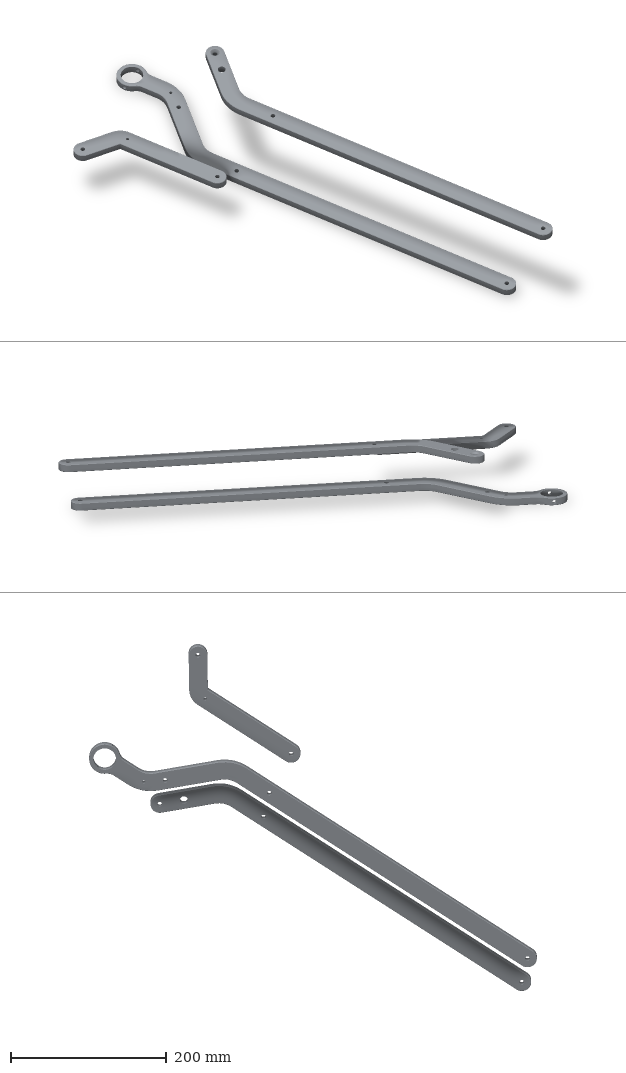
import cadquery as cq
import math

total_length = 658.0
total_depth = 228.14

bar_width = 24.0
thickness = 10.0
edge_break = 0.5
level_spacing = 35.0
row_spacing = 50.0

pivot_diameter = 6.0
pilot_diameter = 4.0
pivot_spacing = 400.0

arm_slope = 44.2
arm_bend_radius = 40.0

ring_diameter = 40.0
ring_bore_diameter = 29.0
ring_pin_diameter = 5.0
neck_fillet = 15.0
ring_arm_drop = 80.0
ring_arm_bend_x = 60.3
ring_arm_pilot = (58.9, -2.5)
slope_pivot_distance = 28.0

offset_arm_shift = 25.0
offset_arm_rise = 60.2
cross_hole_distance = 31.4
cross_hole_diameter = 10.0
countersink_diameter = 12.0
countersink_angle = 90.0

link_slope = 55.1
link_end_x = 27.1
link_bend_radius = 12.5
link_pilot_distance = 133.0

half_width = bar_width / 2
ring_radius = ring_diameter / 2
ring_arm_y = -ring_arm_drop
offset_arm_y = ring_arm_y + row_spacing
link_y = ring_arm_y - row_spacing
link_drop = total_depth - bar_width - 2 * row_spacing - offset_arm_rise
offset_arm_far_pivot_x = total_length - ring_radius - half_width
offset_arm_near_pivot_x = offset_arm_far_pivot_x - pivot_spacing
ring_arm_near_pivot_x = offset_arm_near_pivot_x - offset_arm_shift
ring_arm_far_pivot_x = ring_arm_near_pivot_x + pivot_spacing
ring_arm_lower_bend_x = ring_arm_bend_x + ring_arm_drop / math.tan(math.radians(arm_slope))
offset_arm_bend_x = ring_arm_lower_bend_x + offset_arm_shift
link_far_pivot_x = ring_arm_near_pivot_x


def bend_side(before, corner, after, radius, side):
    """Start, middle and end of one edge's arc at a bend; side is +1 for the left edge, -1 for the right."""
    heading_in = (corner - before).normalized()
    heading_out = (after - corner).normalized()
    turn = math.asin(heading_in.cross(heading_out).z)
    left_in = cq.Vector(-heading_in.y, heading_in.x)
    left_out = cq.Vector(-heading_out.y, heading_out.x)
    left_middle = (left_in + left_out).normalized()
    to_centre = math.copysign(radius, turn)
    centre = corner - heading_in * (radius * math.tan(abs(turn) / 2)) + left_in * to_centre
    reach = side * half_width - to_centre
    return [centre + left * reach for left in (left_in, left_middle, left_out)]


def bent_bar(centreline, bend_radius):
    """Round-ended bar that follows a centreline with every corner rounded."""
    points = [cq.Vector(x, y) for x, y in centreline]
    first_heading = (points[1] - points[0]).normalized()
    last_heading = (points[-1] - points[-2]).normalized()
    first_left = cq.Vector(-first_heading.y, first_heading.x) * half_width
    last_left = cq.Vector(-last_heading.y, last_heading.x) * half_width
    bends = list(zip(points, points[1:], points[2:]))

    right_start = points[0] - first_left
    outline = cq.Workplane("XY").moveTo(right_start.x, right_start.y)
    for before, corner, after in bends:
        start, middle, end = bend_side(before, corner, after, bend_radius, -1)
        outline = outline.lineTo(start.x, start.y)
        outline = outline.threePointArc((middle.x, middle.y), (end.x, end.y))
    right_end = points[-1] - last_left
    tip = points[-1] + last_heading * half_width
    left_end = points[-1] + last_left
    outline = outline.lineTo(right_end.x, right_end.y)
    outline = outline.threePointArc((tip.x, tip.y), (left_end.x, left_end.y))
    for before, corner, after in reversed(bends):
        start, middle, end = bend_side(before, corner, after, bend_radius, 1)
        outline = outline.lineTo(end.x, end.y)
        outline = outline.threePointArc((middle.x, middle.y), (start.x, start.y))
    left_start = points[0] + first_left
    tail = points[0] - first_heading * half_width
    outline = outline.lineTo(left_start.x, left_start.y)
    outline = outline.threePointArc((tail.x, tail.y), (right_start.x, right_start.y))
    return outline.close().extrude(thickness)


def drill(bar, diameter, centres):
    """Cut vertical through holes."""
    drills = cq.Workplane("XY").pushPoints(centres).circle(diameter / 2).extrude(thickness)
    return bar.cut(drills)


def break_outline(bar):
    """Chamfer the whole top and bottom outline of a bar that has no holes yet."""
    return bar.faces("<Z or >Z").edges().chamfer(edge_break)


def ring_neck():
    """Web between the ring and the bar, with concave rounds tangent to both."""
    fillet_y = half_width + neck_fillet
    fillet_x = math.sqrt((ring_radius + neck_fillet) ** 2 - fillet_y**2)
    touch_share = ring_radius / (ring_radius + neck_fillet)
    touch_x = fillet_x * touch_share
    touch_y = fillet_y * touch_share
    lower_side = [(0, -touch_y), (touch_x, -touch_y), (fillet_x, -half_width)]
    upper_side = [(x, -y) for x, y in reversed(lower_side)]
    web = cq.Workplane("XY").polyline(lower_side + upper_side).close().extrude(thickness)
    rounds = cq.Workplane("XY").pushPoints([(fillet_x, fillet_y), (fillet_x, -fillet_y)])
    return web.cut(rounds.circle(neck_fillet).extrude(thickness))


def down_slope(start, distance):
    """Point at a distance from a start point, down the sloped part of an arm."""
    slope = math.radians(arm_slope)
    return (start[0] + distance * math.cos(slope), start[1] - distance * math.sin(slope))


def make_ring_arm():
    ring_centre = (0, 0)
    upper_bend = (ring_arm_bend_x, 0)
    lower_bend = (ring_arm_lower_bend_x, ring_arm_y)
    near_pivot = (ring_arm_near_pivot_x, ring_arm_y)
    far_pivot = (ring_arm_far_pivot_x, ring_arm_y)
    arm = bent_bar([ring_centre, upper_bend, lower_bend, far_pivot], arm_bend_radius)
    arm = arm.union(cq.Workplane("XY").circle(ring_radius).extrude(thickness))
    arm = arm.union(ring_neck())
    arm = break_outline(arm)
    arm = drill(arm, ring_bore_diameter, [ring_centre])
    arm = drill(arm, pivot_diameter, [down_slope(upper_bend, slope_pivot_distance), near_pivot, far_pivot])
    arm = drill(arm, pilot_diameter, [ring_arm_pilot])
    pin_hole = cq.Workplane("XZ").center(0, thickness / 2).circle(ring_pin_diameter / 2)
    return arm.cut(pin_hole.extrude(ring_radius, both=True))


def make_offset_arm():
    bend = (offset_arm_bend_x, offset_arm_y)
    upper_end = down_slope(bend, -offset_arm_rise / math.sin(math.radians(arm_slope)))
    near_pivot = (offset_arm_near_pivot_x, offset_arm_y)
    far_pivot = (offset_arm_far_pivot_x, offset_arm_y)
    arm = bent_bar([upper_end, bend, far_pivot], arm_bend_radius)
    arm = break_outline(arm)
    arm = drill(arm, cross_hole_diameter, [down_slope(upper_end, cross_hole_distance)])
    arm = drill(arm, pivot_diameter, [near_pivot, far_pivot])
    arm = arm.faces(">Z").workplane(origin=(*upper_end, thickness))
    arm = arm.cskHole(pivot_diameter, countersink_diameter, countersink_angle)
    return arm.translate((0, 0, 2 * level_spacing))


def make_link():
    lower_end = (link_end_x, link_y - link_drop)
    bend = (link_end_x + link_drop / math.tan(math.radians(link_slope)), link_y)
    far_pivot = (link_far_pivot_x, link_y)
    pilot = (link_far_pivot_x - link_pilot_distance, link_y)
    link = bent_bar([lower_end, bend, far_pivot], link_bend_radius)
    link = break_outline(link)
    link = drill(link, pivot_diameter, [lower_end, far_pivot])
    link = drill(link, pilot_diameter, [pilot])
    return link.translate((0, 0, level_spacing))


ring_arm = make_ring_arm()
offset_arm = make_offset_arm()
link = make_link()

result = cq.Compound.makeCompound([ring_arm.val(), offset_arm.val(), link.val()])